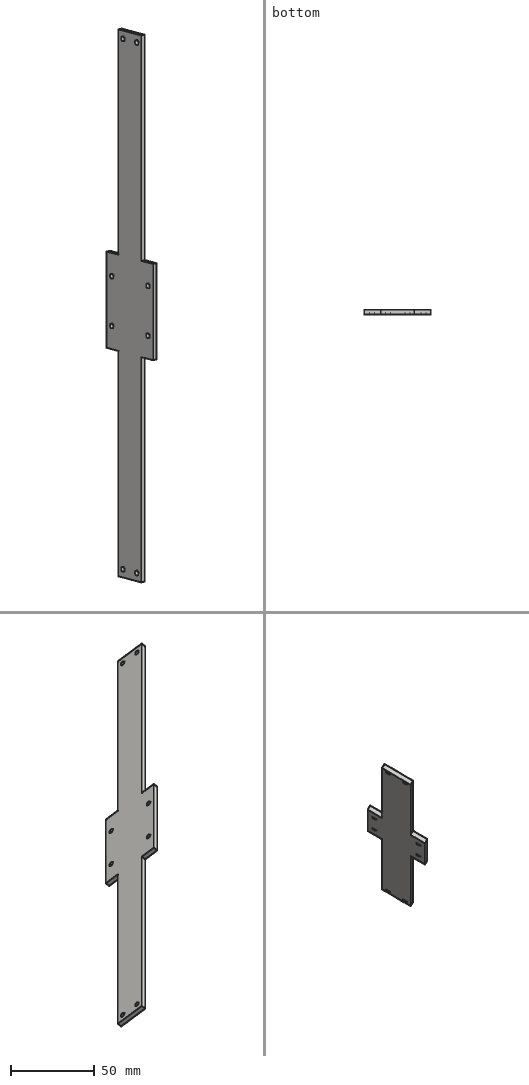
import cadquery as cq

length = 340.0
thickness = 3.0

strip_width = 20.0
pad_width = 40.0
pad_height = 60.0

hole_diameter = 3.0
pad_hole_pitch = 31.0
end_hole_pitch = 12.0
end_hole_inset = 5.0
end_hole_span = length - 2 * end_hole_inset


def plate(width, height):
    """Flat plate standing in the XZ plane, centred on the origin."""
    return cq.Workplane("XY").box(width, thickness, height)


def corner_holes(x_pitch, z_pitch):
    """Four cylinders along Y at the corners of a centred rectangle."""
    return (
        cq.Workplane("XZ")
        .rect(x_pitch, z_pitch, forConstruction=True)
        .vertices()
        .circle(hole_diameter / 2)
        .extrude(thickness, both=True)
    )


body = plate(strip_width, length).union(plate(pad_width, pad_height))

body = body.cut(corner_holes(pad_hole_pitch, pad_hole_pitch))
result = body.cut(corner_holes(end_hole_pitch, end_hole_span))